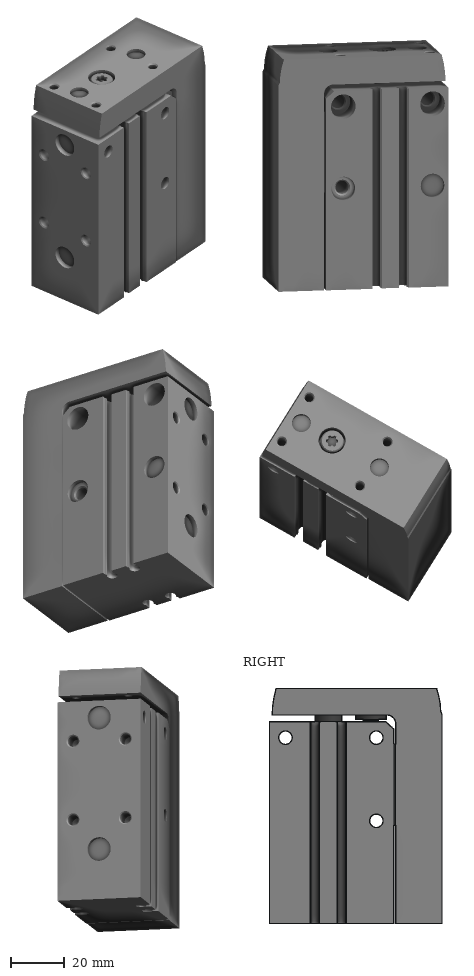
import cadquery as cq
import math


housing_width = 32.0
housing_depth = 46.5
housing_height = 75.5
rear_chamfer_run = 3.0
rear_chamfer_drop = 2.7

slide_width = 31.5
slide_back_y = 64.5
slide_inner_y = 47.2
slide_height = 88.0
plate_bottom_z = 78.0
plate_thickness = slide_height - plate_bottom_z
plate_front_y = 1.0
inner_fillet = 3.3
front_top_inset = 1.5
back_top_inset = 2.0
back_lip_inset = 0.4
back_lip_low = 0.35
back_lip_high = 1.3
end_bulge = 0.35

pocket_width = 26.9
pocket_depth = 8.8
pocket_top_z = 77.4
pocket_arch_radius = 21.65
pocket_arch_center_z = 57.8

guide_width = pocket_width
guide_bottom_z = 36.8
guide_top_z = 67.2

pattern_front_y = 6.0
pattern_pitch_y = 34.0
pattern_rows_y = [pattern_front_y, pattern_front_y + pattern_pitch_y]
screw_x = 10.0

side_upper_z = 69.5
side_lower_z = 38.5
side_bore_diameter = 4.9
side_countersink_diameter = 6.0
upper_counterbore_diameter = 9.3
upper_counterbore_depth = 10.6
lower_counterbore_diameter = 9.0
lower_counterbore_depth = 2.0

front_dowel_diameter = 9.0
front_dowel_depth = 2.0
front_dowel_rows_z = [19.0, 69.0]
front_screw_rows_z = [30.5, 60.5]
front_screw_diameter = 4.1
front_screw_countersink = 4.9
front_screw_depth = 8.0

piston_y = 22.0
groove_offset = 5.0
groove_bore_diameter = 4.1
groove_bore_depth = 3.7
groove_neck_width = 3.0
groove_mouth_width = 3.5
groove_mouth_depth = 1.5
land_recess = 0.35

plate_screw_diameter = 3.3
plate_screw_countersink = 4.1
plate_dowel_diameter = 7.0
plate_dowel_depth = 1.5
plate_dowel_shift = 2.6

rod_diameter = 10.1
rod_screw_bore = 10.1
rod_screw_bore_depth = 5.8
rod_screw_head_diameter = 8.5
rod_screw_head_chamfer = 0.4
rod_screw_head_recess = 0.6
torx_diameter = 4.6
torx_depth = 2.0
torx_lobes = 6
torx_scallop_diameter = 1.6
torx_scallop_ring = 2.55

stop_y = 37.9
stop_head_diameter = 11.5
stop_head_height = 1.6
stop_tip_diameter = 5.8
stop_tip_gap = 0.3

drill_point_angle = 118


def disc(diameter, height, origin, direction):
    """Cylinder that starts at origin and runs along direction."""
    return cq.Workplane(cq.Solid.makeCylinder(diameter / 2, height, cq.Vector(origin), cq.Vector(direction)))


def cone(start_diameter, end_diameter, height, origin, direction):
    """Truncated cone that starts at origin and runs along direction."""
    solid = cq.Solid.makeCone(
        start_diameter / 2, end_diameter / 2, height, cq.Vector(origin), cq.Vector(direction)
    )
    return cq.Workplane(solid)


def countersink(outer_diameter, inner_diameter, origin, direction):
    """45 degree countersink that narrows from outer to inner diameter."""
    return cone(outer_diameter, inner_diameter, (outer_diameter - inner_diameter) / 2, origin, direction)


def tapped_hole(diameter, mouth_diameter, depth, origin, direction):
    """Blind hole with a countersunk mouth and a drill point."""
    point_height = diameter / 2 / math.tan(math.radians(drill_point_angle / 2))
    bottom = cq.Vector(origin) + cq.Vector(direction) * depth
    return (
        disc(diameter, depth, origin, direction)
        .union(cone(diameter, 0, point_height, bottom, direction))
        .union(countersink(mouth_diameter, diameter, origin, direction))
    )


def side_hole(y, z, counterbore_diameter, counterbore_depth):
    """Counterbored and countersunk hole that passes through the housing along X."""
    side_x = -housing_width / 2
    seat_x = side_x + counterbore_depth
    inward = (1, 0, 0)
    return (
        disc(side_bore_diameter, housing_width, (side_x, y, z), inward)
        .union(disc(counterbore_diameter, counterbore_depth, (side_x, y, z), inward))
        .union(countersink(side_countersink_diameter, side_bore_diameter, (seat_x, y, z), inward))
    )


def left_side_grooves():
    """Two round-bottomed sensor grooves and the lowered land between them, on the -X side."""
    side_x = -housing_width / 2
    cutter = (
        cq.Workplane("XY")
        .box(land_recess, 2 * groove_offset, housing_height, centered=(False, True, False))
        .translate((side_x, piston_y, 0))
    )
    mouth = (groove_mouth_width, groove_mouth_depth)
    neck = (groove_neck_width, groove_bore_depth)
    for y in (piston_y - groove_offset, piston_y + groove_offset):
        for width, depth in (mouth, neck):
            cutter = cutter.union(
                cq.Workplane("XY")
                .box(depth, width, housing_height, centered=(False, True, False))
                .translate((side_x, y, 0))
            )
        bore_start = (side_x + groove_bore_depth, y, 0)
        cutter = cutter.union(disc(groove_bore_diameter, housing_height, bore_start, (0, 0, 1)))
    return cutter


def make_housing():
    body = (
        cq.Workplane("YZ")
        .polyline([
            (0, 0),
            (housing_depth, 0),
            (housing_depth, housing_height - rear_chamfer_drop),
            (housing_depth - rear_chamfer_run, housing_height),
            (0, housing_height),
        ])
        .close()
        .extrude(housing_width / 2, both=True)
    )

    grooves = left_side_grooves()
    body = body.cut(grooves).cut(grooves.mirror("YZ"))

    front_row, rear_row = pattern_rows_y
    for y in pattern_rows_y:
        body = body.cut(side_hole(y, side_upper_z, upper_counterbore_diameter, upper_counterbore_depth))
    body = body.cut(side_hole(rear_row, side_lower_z, lower_counterbore_diameter, lower_counterbore_depth))
    blind_start = (-housing_width / 2, front_row, side_lower_z)
    body = body.cut(disc(lower_counterbore_diameter, lower_counterbore_depth, blind_start, (1, 0, 0)))

    inward = (0, 1, 0)
    for z in front_dowel_rows_z:
        body = body.cut(disc(front_dowel_diameter, front_dowel_depth, (0, 0, z), inward))
    for z in front_screw_rows_z:
        for x in (-screw_x, screw_x):
            start = (x, 0, z)
            body = body.cut(
                tapped_hole(front_screw_diameter, front_screw_countersink, front_screw_depth, start, inward)
            )
    return body


def slide_profile():
    """L-shaped side outline with bulged ends on the top plate."""
    back_low_z = plate_bottom_z + back_lip_high
    front_middle_z = (plate_bottom_z + slide_height) / 2
    back_middle_z = (back_low_z + slide_height) / 2
    front_top_y = plate_front_y + front_top_inset
    back_low_y = slide_back_y - back_lip_inset
    back_top_y = slide_back_y - back_top_inset
    front_middle_y = (plate_front_y + front_top_y) / 2 - end_bulge
    back_middle_y = (back_low_y + back_top_y) / 2 + end_bulge
    return (
        cq.Workplane("YZ")
        .moveTo(slide_inner_y, 0)
        .lineTo(slide_back_y, 0)
        .lineTo(slide_back_y, plate_bottom_z + back_lip_low)
        .lineTo(back_low_y, back_low_z)
        .threePointArc((back_middle_y, back_middle_z), (back_top_y, slide_height))
        .lineTo(front_top_y, slide_height)
        .threePointArc((front_middle_y, front_middle_z), (plate_front_y, plate_bottom_z))
        .lineTo(slide_inner_y - inner_fillet, plate_bottom_z)
        .radiusArc((slide_inner_y, plate_bottom_z - inner_fillet), inner_fillet)
        .close()
    )


def inner_pocket():
    """Pocket above the guide block, cut through the inner fillet into the inner face."""
    front_y = slide_inner_y - inner_fillet
    length = inner_fillet + pocket_depth
    window = (
        cq.Workplane("XY")
        .box(pocket_width, length, pocket_top_z - guide_top_z, centered=(True, False, False))
        .translate((0, front_y, guide_top_z))
    )
    return window.intersect(
        disc(2 * pocket_arch_radius, length, (0, front_y, pocket_arch_center_z), (0, 1, 0))
    )


def torx_socket(top_z):
    """Six-lobed star recess in the head of the rod screw."""
    socket = disc(torx_diameter, torx_depth, (0, piston_y, top_z), (0, 0, -1))
    for index in range(torx_lobes):
        angle = math.radians((index + 0.5) * 360 / torx_lobes)
        x = torx_scallop_ring * math.cos(angle)
        y = piston_y + torx_scallop_ring * math.sin(angle)
        socket = socket.cut(disc(torx_scallop_diameter, torx_depth, (x, y, top_z), (0, 0, -1)))
    return socket


def rod_screw():
    """Chamfered screw head standing in its bore, with a star socket."""
    floor_z = slide_height - rod_screw_bore_depth
    head_z = slide_height - rod_screw_head_recess
    head = disc(rod_screw_head_diameter, head_z - floor_z, (0, piston_y, floor_z), (0, 0, 1))
    return head.faces(">Z").chamfer(rod_screw_head_chamfer).cut(torx_socket(head_z))


def stop_screw():
    """Round stop below the top plate with a thinner tip that ends just above the housing."""
    tip_height = plate_bottom_z - housing_height - stop_tip_gap
    start = (0, stop_y, plate_bottom_z)
    down = (0, 0, -1)
    return disc(stop_head_diameter, stop_head_height, start, down).union(
        disc(stop_tip_diameter, tip_height, start, down)
    )


def make_slide():
    body = slide_profile().extrude(slide_width / 2, both=True).cut(inner_pocket())

    down = (0, 0, -1)
    for y in pattern_rows_y:
        for x in (-screw_x, screw_x):
            start = (x, y, slide_height)
            body = body.cut(disc(plate_screw_diameter, plate_thickness, start, down))
            body = body.cut(countersink(plate_screw_countersink, plate_screw_diameter, start, down))
        dowel_start = (0, y + plate_dowel_shift, slide_height)
        body = body.cut(disc(plate_dowel_diameter, plate_dowel_depth, dowel_start, down))

    body = body.cut(disc(rod_screw_bore, rod_screw_bore_depth, (0, piston_y, slide_height), down))
    body = body.union(rod_screw()).union(stop_screw())

    rod_length = plate_bottom_z - housing_height
    body = body.union(disc(rod_diameter, rod_length, (0, piston_y, plate_bottom_z), down))

    guide_thickness = slide_inner_y - housing_depth
    guide_height = guide_top_z - guide_bottom_z
    guide = (
        cq.Workplane("XY")
        .box(guide_width, guide_thickness, guide_height, centered=(True, False, False))
        .translate((0, housing_depth, guide_bottom_z))
    )
    return body.union(guide)


housing = make_housing()
slide = make_slide()

result = cq.Compound.makeCompound([housing.val(), slide.val()])